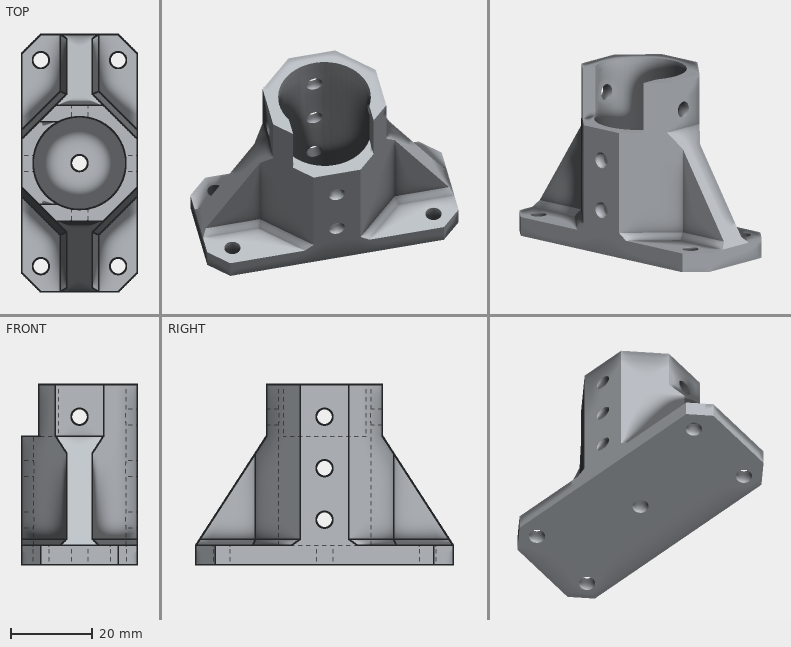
import cadquery as cq
import math

PLATE_WIDTH = 28.575
PLATE_LENGTH = 63.5
PLATE_THICKNESS = 4.7625
PLATE_CORNER = 4.7625
HOLE_DIAMETER = 4.0
MOUNT_SPACING_X = 19.05
MOUNT_SPACING_Y = 50.8

SOCKET_HEIGHT = 44.45
SOCKET_FLAT = PLATE_WIDTH * math.tan(math.pi / 8)
BORE_DIAMETER = 22.86
BORE_FLOOR = PLATE_THICKNESS
NOTCH_WIDTH = 20.32
NOTCH_FLOOR = 31.75

RIB_WIDTH = 6.35
RIB_TOP = NOTCH_FLOOR
FOOT_BEVEL = 1.5875

TOP_HOLE_Z = 36.5125
CROSS_HOLE_PITCH = 12.7

HALF_WIDTH = PLATE_WIDTH / 2
HALF_LENGTH = PLATE_LENGTH / 2
SLANT_SUM = HALF_WIDTH + SOCKET_FLAT / 2


def web_outline(offset, z):
    """Socket-and-ribs outline at height z, grown by offset and bounded by the plate's edges."""
    rib_x = RIB_WIDTH / 2 + offset
    slant_sum = SLANT_SUM + offset * math.sqrt(2)
    quarter = [
        (HALF_WIDTH, slant_sum - HALF_WIDTH),
        (rib_x, slant_sum - rib_x),
        (rib_x, HALF_LENGTH),
    ]
    mirrored = [(-x, y) for x, y in reversed(quarter)]
    back_half = quarter + mirrored
    front_half = [(-x, -y) for x, y in back_half]
    return cq.Workplane("XY").workplane(offset=z).polyline(back_half + front_half).close()


def make_plate():
    plate = cq.Workplane("XY").box(PLATE_WIDTH, PLATE_LENGTH, PLATE_THICKNESS, centered=(True, True, False))
    return plate.edges("|Z").chamfer(PLATE_CORNER)


def make_socket():
    corner = (PLATE_WIDTH - SOCKET_FLAT) / 2
    socket = cq.Workplane("XY").box(PLATE_WIDTH, PLATE_WIDTH, SOCKET_HEIGHT, centered=(True, True, False))
    return socket.edges("|Z").chamfer(corner)


def make_foot_bevel():
    """Tapered band that widens the socket and ribs where they meet the plate."""
    lower = web_outline(FOOT_BEVEL, PLATE_THICKNESS).wires().val()
    upper = web_outline(0, PLATE_THICKNESS + FOOT_BEVEL).wires().val()
    return cq.Workplane(cq.Solid.makeLoft([lower, upper], True))


def make_ribs():
    """Ribs and their foot bevel, trimmed by the slope from the socket to the plate's ends."""
    web = web_outline(0, 0).extrude(RIB_TOP).union(make_foot_bevel())
    envelope = (
        cq.Workplane("YZ")
        .moveTo(-HALF_LENGTH, PLATE_THICKNESS)
        .lineTo(HALF_LENGTH, PLATE_THICKNESS)
        .lineTo(HALF_WIDTH, RIB_TOP)
        .lineTo(-HALF_WIDTH, RIB_TOP)
        .close()
        .extrude(HALF_WIDTH, both=True)
    )
    return web.intersect(envelope)


def cut_bore(body):
    """Round bore from the top down to its floor, with a small hole on through the floor."""
    bore = cq.Workplane("XY").workplane(offset=BORE_FLOOR).circle(BORE_DIAMETER / 2).extrude(SOCKET_HEIGHT)
    floor_hole = cq.Workplane("XY").circle(HOLE_DIAMETER / 2).extrude(SOCKET_HEIGHT)
    return body.cut(bore).cut(floor_hole)


def cut_notch(body):
    """Open the -X wall of the socket above the notch floor."""
    notch = (
        cq.Workplane("XY")
        .box(HALF_WIDTH, NOTCH_WIDTH, SOCKET_HEIGHT - NOTCH_FLOOR, centered=(False, True, False))
        .translate((-HALF_WIDTH, 0, NOTCH_FLOOR))
    )
    return body.cut(notch)


def cut_mount_holes(body):
    holes = (
        cq.Workplane("XY")
        .rect(MOUNT_SPACING_X, MOUNT_SPACING_Y, forConstruction=True)
        .vertices()
        .circle(HOLE_DIAMETER / 2)
        .extrude(PLATE_THICKNESS)
    )
    return body.cut(holes)


def cut_cross_holes(body):
    """Three holes along X, and one along Y level with the top one."""
    x_centers = [(0, TOP_HOLE_Z - row * CROSS_HOLE_PITCH) for row in range(3)]
    along_x = (
        cq.Workplane("YZ").pushPoints(x_centers).circle(HOLE_DIAMETER / 2).extrude(HALF_WIDTH, both=True)
    )
    along_y = (
        cq.Workplane("XZ").center(0, TOP_HOLE_Z).circle(HOLE_DIAMETER / 2).extrude(HALF_WIDTH, both=True)
    )
    return body.cut(along_x).cut(along_y)


body = make_plate().union(make_socket()).union(make_ribs())
body = cut_bore(body)
body = cut_notch(body)
body = cut_mount_holes(body)
result = cut_cross_holes(body)